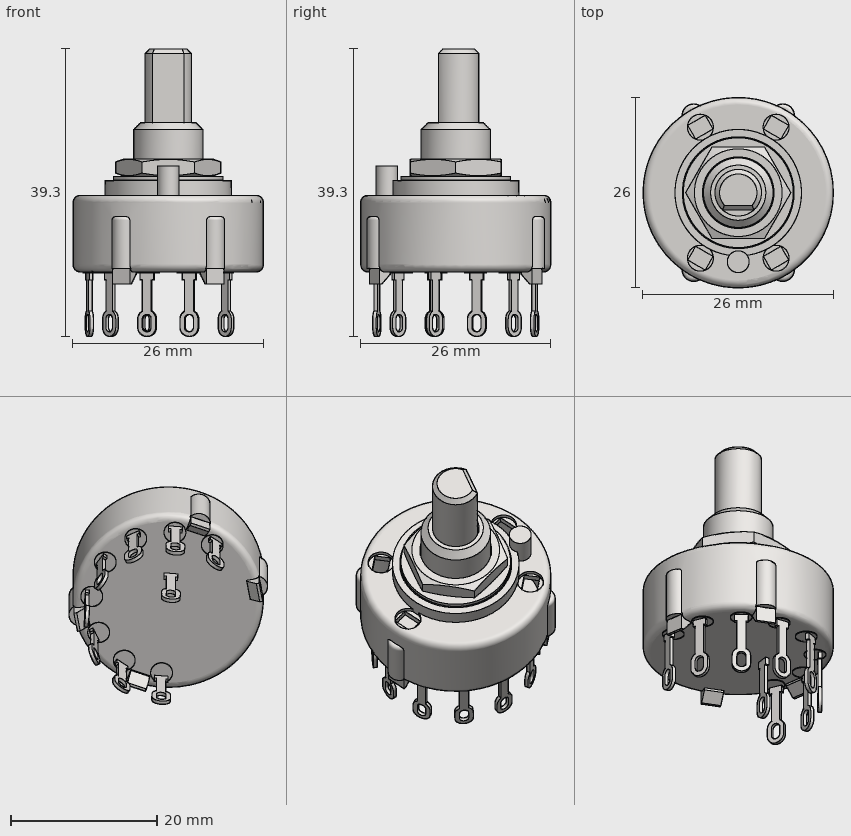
import cadquery as cq
import math


HOUSING_DIA = 26.0
HOUSING_BOTTOM = 8.8
HOUSING_TOP = 19.3
HOUSING_FILLET = 1.002
WALL = 1.002
ROOF = 1.38

BOSS_DIA = 17.3
BOSS_TOP = 21.3
SEAT_HEIGHT = 0.08
GROOVE_DIA = 15.3
GROOVE_DEPTH = 0.4
BUSHING_DIA = 9.5
BUSHING_TOP = 29.25
BUSHING_CHAMFER = 1.0
SHAFT_DIA = 6.35
SHAFT_TOP = 39.3
SHAFT_CHAMFER = 0.63
FLAT_OFFSET = 2.35
FLAT_BELOW_BUSHING = 1.18

PIN_DIA = 3.0
PIN_RADIUS = 9.45
PIN_TOP = 23.3

LEG_ANGLES = (60, 120, 240, 300)
POST_DIA = 3.22
POST_RADIUS = 12.15
POST_BOTTOM = 9.3
POST_TOP = 16.4
POST_FILLET = 0.5
LEG_WIDTH = 2.75
LEG_OUTER_RADIUS = 12.85
LEG_BOTTOM = 7.15
HOOK_TIP_THICKNESS = 0.4
HOOK_THICKNESS = 1.73
HOOK_SLOPE_TOP = 8.5
OPENING_RADIUS = 10.35
OPENING_DIA = 3.55
OPENING_DEPTH = 0.55
WINDOW_LENGTH = 2.15

TERMINAL_RADIUS = 11.15
TERMINAL_COUNT = 8
TERMINAL_FIRST_ANGLE = 45
TERMINAL_PITCH = 30
COMMON_RADIUS = 4.1
COMMON_ANGLE = 225
TERMINAL_THICKNESS = 0.5
TAB_WIDTH = 1.9
TAB_BOTTOM = 7.75
STEM_WIDTH = 1.25
EYE_WIDTH = 2.55
EYE_STRAIGHT = 1.1
EYELET_WIDTH = 1.25
PAD_DIA = 3.0
PAD_RADIUS = 10.5
PAD_BOTTOM = 8.7

HARDWARE_BORE = 9.8
WASHER_DIA = 15.0
WASHER_TOP = 21.9
NUT_TOP = 24.3
NUT_ACROSS_FLATS = 12.45
NUT_FACE_DIA = 12.0
NUT_CHAMFER_ANGLE = 20

HOUSING_FLOOR = HOUSING_BOTTOM + WALL
SEAT_TOP = BOSS_TOP + SEAT_HEIGHT


def cylinder(diameter, bottom, top):
    """Upright cylinder on the Z axis between two heights."""
    return cq.Workplane("XY", origin=(0, 0, bottom)).circle(diameter / 2).extrude(top - bottom)


def box(x_min, x_max, width, bottom, top):
    """Box centred on Y = 0 that spans the given X and Z ranges."""
    plane = cq.Workplane("XY", origin=((x_min + x_max) / 2, 0, bottom))
    return plane.rect(x_max - x_min, width).extrude(top - bottom)


def placed(shape, radius, angle):
    """Move a shape out along X, then turn it about the Z axis."""
    return shape.translate((radius, 0, 0)).rotate((0, 0, 0), (0, 0, 1), angle)


def make_housing():
    drum = cylinder(HOUSING_DIA, HOUSING_BOTTOM, HOUSING_TOP)
    return drum.faces("<Z or >Z").edges().fillet(HOUSING_FILLET)


def make_hollow():
    """Round space inside the housing."""
    return cylinder(HOUSING_DIA - 2 * WALL, HOUSING_FLOOR, HOUSING_TOP - ROOF)


def make_boss():
    """Boss with a raised washer seat, set off by a narrow groove."""
    boss = cylinder(BOSS_DIA, HOUSING_TOP - HOUSING_FILLET, BOSS_TOP)
    groove_floor = BOSS_TOP - GROOVE_DEPTH
    seat = cylinder(WASHER_DIA, groove_floor, SEAT_TOP)
    return boss.cut(cylinder(GROOVE_DIA, groove_floor, BOSS_TOP)).union(seat)


def make_bushing():
    bushing = cylinder(BUSHING_DIA, HOUSING_TOP, BUSHING_TOP)
    return bushing.faces(">Z").chamfer(BUSHING_CHAMFER)


def make_flat_cut():
    """Segment between the shaft flat and the shaft's round side."""
    bottom = BUSHING_TOP - FLAT_BELOW_BUSHING
    beyond_flat = (
        cq.Workplane("XY", origin=(0, -FLAT_OFFSET - SHAFT_DIA / 2, bottom))
        .rect(SHAFT_DIA, SHAFT_DIA)
        .extrude(SHAFT_TOP - bottom)
    )
    return cylinder(SHAFT_DIA, bottom, SHAFT_TOP).intersect(beyond_flat)


def make_shaft():
    shaft = cylinder(SHAFT_DIA, HOUSING_TOP, SHAFT_TOP)
    return shaft.cut(make_flat_cut()).faces(">Z").chamfer(SHAFT_CHAMFER)


def make_pin():
    pin = cylinder(PIN_DIA, HOUSING_TOP - HOUSING_FILLET, PIN_TOP)
    return pin.translate((0, -PIN_RADIUS, 0))


def make_post():
    post = cylinder(POST_DIA, POST_BOTTOM, POST_TOP)
    return post.faces(">Z").edges().fillet(POST_FILLET)


def make_hook_leg():
    """Leg with an inward hook, its outer face on the plane X = 0."""
    return (
        cq.Workplane("XZ", origin=(0, LEG_WIDTH / 2, 0))
        .moveTo(0, LEG_BOTTOM)
        .lineTo(0, HOUSING_FLOOR)
        .lineTo(-HOOK_THICKNESS, HOUSING_FLOOR)
        .lineTo(-HOOK_THICKNESS, HOOK_SLOPE_TOP)
        .lineTo(-HOOK_TIP_THICKNESS, LEG_BOTTOM)
        .close()
        .extrude(LEG_WIDTH)
    )


def make_opening():
    """Round sinking with a rectangular window from its floor into the hollow."""
    floor = HOUSING_TOP - OPENING_DEPTH
    sinking = cylinder(OPENING_DIA, floor, HOUSING_TOP)
    window = box(-WINDOW_LENGTH / 2, WINDOW_LENGTH / 2, LEG_WIDTH, HOUSING_TOP - ROOF, floor)
    return sinking.union(window)


def make_terminal():
    """Flat terminal with an oblong eye at its tip."""
    eye_middle = (EYE_WIDTH + EYE_STRAIGHT) / 2
    half = TERMINAL_THICKNESS / 2
    side = cq.Workplane("YZ", origin=(-half, 0, 0)).center(0, eye_middle)
    eye = side.slot2D(EYE_STRAIGHT + EYE_WIDTH, EYE_WIDTH, 90).extrude(TERMINAL_THICKNESS)
    eyelet = side.slot2D(EYE_STRAIGHT + EYELET_WIDTH, EYELET_WIDTH, 90).extrude(TERMINAL_THICKNESS)
    stem = box(-half, half, STEM_WIDTH, eye_middle, HOUSING_FLOOR)
    tab = box(-half, half, TAB_WIDTH, TAB_BOTTOM, HOUSING_FLOOR)
    return eye.union(stem).cut(eyelet).union(tab)


def make_pad():
    """Low round pad under the housing around the root of a terminal."""
    return cylinder(PAD_DIA, PAD_BOTTOM, HOUSING_FLOOR)


def make_switch():
    switch = make_housing().union(make_pin())
    for angle in LEG_ANGLES:
        switch = switch.union(placed(make_post(), POST_RADIUS, angle))
        switch = switch.union(placed(make_hook_leg(), LEG_OUTER_RADIUS, angle))
    switch = switch.cut(make_hollow())
    for angle in LEG_ANGLES:
        switch = switch.cut(placed(make_opening(), OPENING_RADIUS, angle))
    switch = switch.union(make_boss()).union(make_bushing())
    switch = switch.cut(make_flat_cut()).union(make_shaft())
    for index in range(TERMINAL_COUNT):
        angle = TERMINAL_FIRST_ANGLE + index * TERMINAL_PITCH
        switch = switch.union(placed(make_terminal(), TERMINAL_RADIUS, angle))
        switch = switch.union(placed(make_pad(), PAD_RADIUS, angle))
    return switch.union(placed(make_terminal(), COMMON_RADIUS, COMMON_ANGLE))


def make_hardware():
    """Hex nut, chamfered on both faces, joined to the washer below it."""
    corner_radius = NUT_ACROSS_FLATS / math.sqrt(3)
    face_radius = NUT_FACE_DIA / 2
    drop = (corner_radius - face_radius) * math.tan(math.radians(NUT_CHAMFER_ANGLE))
    hexagon = (
        cq.Workplane("XY", origin=(0, 0, WASHER_TOP))
        .polygon(6, 2 * corner_radius)
        .extrude(NUT_TOP - WASHER_TOP)
    )
    turned_blank = (
        cq.Workplane("XZ")
        .moveTo(0, WASHER_TOP)
        .lineTo(face_radius, WASHER_TOP)
        .lineTo(corner_radius, WASHER_TOP + drop)
        .lineTo(corner_radius, NUT_TOP - drop)
        .lineTo(face_radius, NUT_TOP)
        .lineTo(0, NUT_TOP)
        .close()
        .revolve(360, (0, 0, 0), (0, 1, 0))
    )
    nut = hexagon.intersect(turned_blank)
    washer = cylinder(WASHER_DIA, SEAT_TOP, WASHER_TOP)
    return nut.union(washer).cut(cylinder(HARDWARE_BORE, SEAT_TOP, NUT_TOP))


switch = make_switch()
hardware = make_hardware()

result = cq.Compound.makeCompound([switch.val(), hardware.val()])